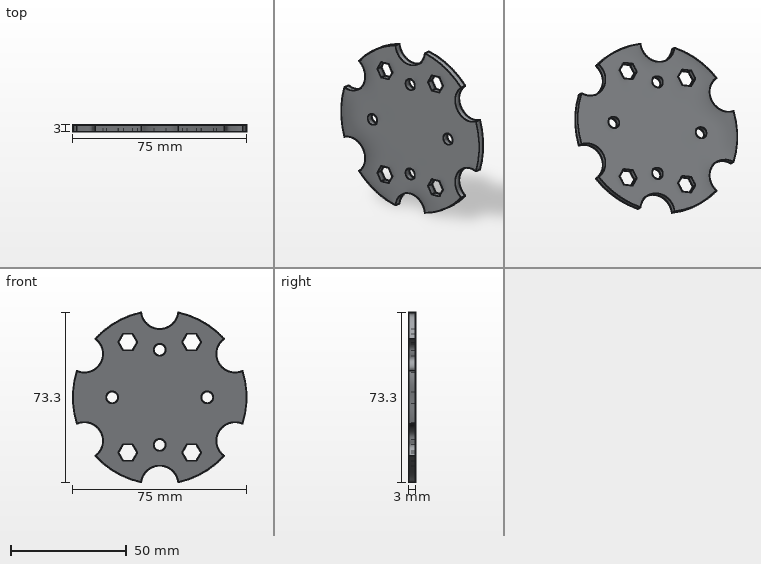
import cadquery as cq
import math

DISC_DIAMETER = 75.0
THICKNESS = 3.0

NOTCH_COUNT = 6
NOTCH_RADIUS = 8.0
NOTCH_START_ANGLE = 30.0

ROUND_HOLE_COUNT = 4
ROUND_HOLE_DIAMETER = 5.0
ROUND_HOLE_CIRCLE_RADIUS = 20.5

HEX_SIDES = 6
HEX_ACROSS_FLATS = 7.0
HEX_CIRCLE_RADIUS = 27.5
HEX_ANGLES = (60.0, 120.0, 240.0, 300.0)

DISC_RADIUS = DISC_DIAMETER / 2
HEX_ACROSS_CORNERS = HEX_ACROSS_FLATS / math.cos(math.pi / HEX_SIDES)


def polar_point(radius, angle):
    """Point in the disc plane at the given radius and angle in degrees."""
    radians = math.radians(angle)
    return (radius * math.cos(radians), radius * math.sin(radians))


def evenly_spaced(radius, count, start_angle=0.0):
    """Points spread evenly around a circle centred on the disc."""
    step = 360.0 / count
    return [polar_point(radius, start_angle + i * step) for i in range(count)]


def through_plane():
    """XZ sketch plane; solids extruded from it grow toward -Y."""
    return cq.Workplane("XZ")


def disc():
    return through_plane().circle(DISC_RADIUS).extrude(THICKNESS)


def rim_notches():
    """Cylinders centred on the rim that leave the round edge notches."""
    centres = evenly_spaced(DISC_RADIUS, NOTCH_COUNT, NOTCH_START_ANGLE)
    return through_plane().pushPoints(centres).circle(NOTCH_RADIUS).extrude(THICKNESS)


def round_holes():
    centres = evenly_spaced(ROUND_HOLE_CIRCLE_RADIUS, ROUND_HOLE_COUNT)
    return through_plane().pushPoints(centres).circle(ROUND_HOLE_DIAMETER / 2).extrude(THICKNESS)


def hex_holes():
    """Hexagonal holes with corners pointing along X and flats facing Z."""
    centres = [polar_point(HEX_CIRCLE_RADIUS, angle) for angle in HEX_ANGLES]
    return through_plane().pushPoints(centres).polygon(HEX_SIDES, HEX_ACROSS_CORNERS).extrude(THICKNESS)


result = disc().cut(rim_notches()).cut(round_holes()).cut(hex_holes())